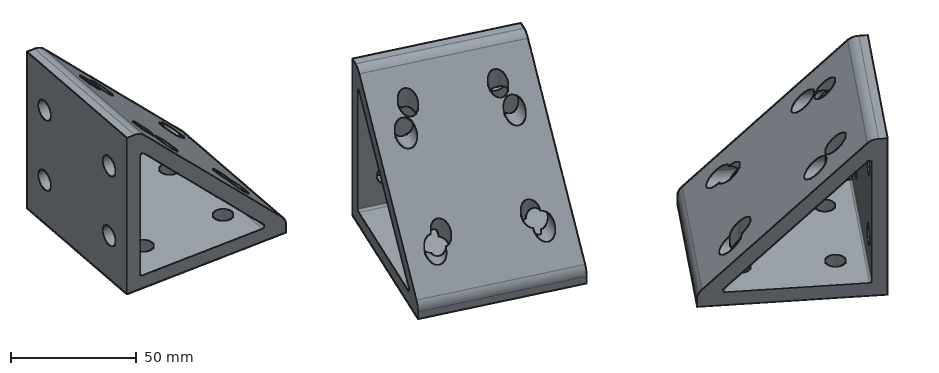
import cadquery as cq
import math

width = 71.37
leg = 76.2
wall = 6.35

toe_flat = wall
toe_radius = 6.35
window_radius = 1.0

upright_hole_diameter = 9.0
upright_hole_spacing_x = 46.0
upright_hole_spacing_z = 34.0

base_hole_diameter = 8.3
base_hole_spacing = 38.1

outer_diagonal_sum = leg + toe_flat
inner_diagonal_sum = outer_diagonal_sum - wall * math.sqrt(2)
window_reach = inner_diagonal_sum - wall


def prism(points):
    """Extrude a (y, z) outline across the full width, centred on X = 0."""
    return cq.Workplane("YZ").polyline(points).close().extrude(width / 2, both=True)


def bracket_body():
    """Triangular outer block with rounded leg tips."""
    body = prism([
        (0, 0),
        (leg, 0),
        (leg, toe_flat),
        (toe_flat, leg),
        (0, leg),
    ])
    upper_tip_corners = cq.selectors.BoxSelector(
        (-width, toe_flat / 2, toe_flat / 2),
        (width, leg + wall, leg + wall),
    )
    return body.edges("|X").edges(upper_tip_corners).fillet(toe_radius)


def window():
    """Triangular opening that leaves an even wall on all three sides."""
    triangle = prism([
        (wall, wall),
        (window_reach, wall),
        (wall, window_reach),
    ])
    return triangle.edges("|X").fillet(window_radius)


def upright_holes():
    """Hole cutters along Y, centred on the upright."""
    return (
        cq.Workplane("XZ")
        .center(0, leg / 2)
        .rarray(upright_hole_spacing_x, upright_hole_spacing_z, 2, 2)
        .circle(upright_hole_diameter / 2)
        .extrude(-leg)
    )


def base_holes():
    """Hole cutters along Z, centred on the base."""
    return (
        cq.Workplane("XY")
        .center(0, leg / 2)
        .rarray(base_hole_spacing, base_hole_spacing, 2, 2)
        .circle(base_hole_diameter / 2)
        .extrude(leg)
    )


result = bracket_body().cut(window()).cut(upright_holes()).cut(base_holes())